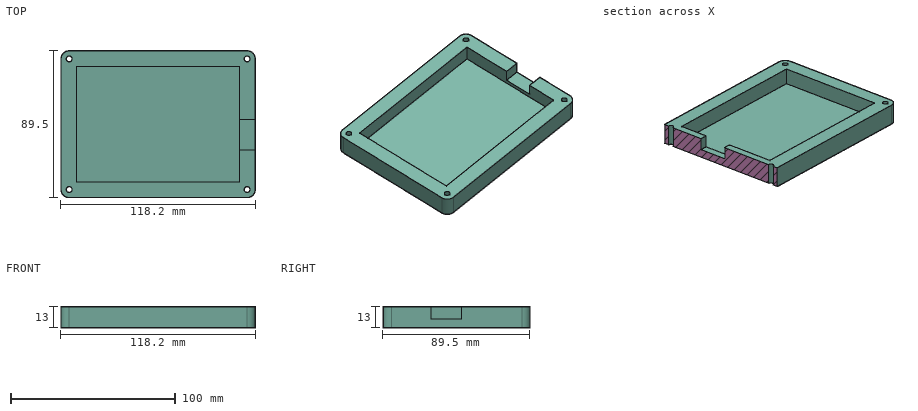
import cadquery as cq

length = 118.25
width = 89.45
height = 13.0
corner_radius = 5.0

pocket_length = 99.25
pocket_width = 70.0
floor_thickness = 3.0

notch_width = 18.5
notch_center_y = -6.3
notch_depth = 7.5

hole_diameter = 3.4
hole_spacing_x = length - 2 * corner_radius
hole_spacing_y = width - 2 * corner_radius


def make_body():
    """Solid block with rounded vertical edges, standing on Z = 0."""
    block = cq.Workplane("XY").box(length, width, height, centered=(True, True, False))
    return block.edges("|Z").fillet(corner_radius)


def make_pocket():
    """Rectangular cutter that leaves the floor under the pocket."""
    return (
        cq.Workplane("XY")
        .workplane(offset=floor_thickness)
        .rect(pocket_length, pocket_width)
        .extrude(height - floor_thickness)
    )


def make_notch():
    """Cutter that runs from the middle of the pocket out through the +X wall."""
    return (
        cq.Workplane("XY")
        .workplane(offset=height - notch_depth)
        .center(length / 4, notch_center_y)
        .rect(length / 2, notch_width)
        .extrude(notch_depth)
    )


def make_screw_holes():
    """Four through-hole cutters, one in each corner."""
    return (
        cq.Workplane("XY")
        .rect(hole_spacing_x, hole_spacing_y, forConstruction=True)
        .vertices()
        .circle(hole_diameter / 2)
        .extrude(height)
    )


result = make_body().cut(make_pocket()).cut(make_notch()).cut(make_screw_holes())